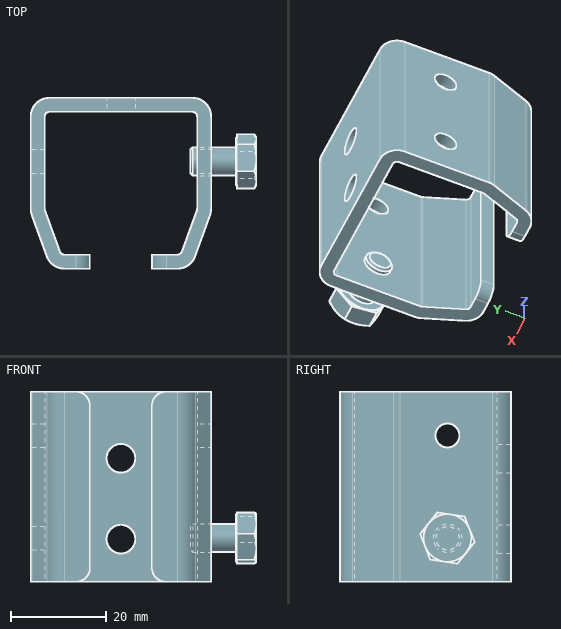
import cadquery as cq
import math

total_length = 47.5
height = 40.0

width = 38.0
depth = 36.0
wall = 3.0
inner_radius = 1.0
outer_radius = inner_radius + wall
bend_depth = 24.1
slope_angle = 20.0
slot_width = 13.0
lip_corner_radius = 3.0

back_hole_diameter = 6.0
back_hole_low = 9.0
back_hole_pitch = 17.0
side_hole_diameter = 5.0
side_hole_y = -13.4
side_hole_low = 9.2
side_hole_pitch = 21.55

bolt_diameter = 6.0
bolt_length = 13.95
tip_chamfer = 0.55
head_height = 4.3
washer_face_height = 0.25
washer_face_diameter = 10.0
head_across_flats = 10.0
head_turn = -8.5
head_chamfer_angle = 30.0

left_x = -width / 2
bolt_end_x = left_x + total_length
bolt_tip_x = bolt_end_x - bolt_length
head_x = bolt_end_x - head_height
head_across_corners = head_across_flats / math.cos(math.radians(30))


def bracket_outline():
    """Sharp-cornered outer outline of the bracket."""
    half_width = width / 2
    slope_run = (depth - bend_depth) * math.tan(math.radians(slope_angle))
    half_front = half_width - slope_run
    return cq.Workplane("XY").polyline([
        (-half_width, 0),
        (half_width, 0),
        (half_width, -bend_depth),
        (half_front, -depth),
        (-half_front, -depth),
        (-half_width, -bend_depth),
    ]).close()


def cylinder_x(diameter, start_x, end_x, y, z):
    """Cylinder along X between two X positions."""
    base = cq.Workplane("YZ", origin=(start_x, y, z))
    return base.circle(diameter / 2).extrude(end_x - start_x)


def make_bracket():
    outside = bracket_outline().extrude(height).edges("|Z").fillet(outer_radius)
    cavity = bracket_outline().offset2D(-wall).extrude(height).edges("|Z").fillet(inner_radius)
    body = outside.cut(cavity)

    slot = cq.Workplane("XY").box(slot_width, 2 * wall, height, centered=(True, True, False))
    body = body.cut(slot.translate((0, -depth, 0)))
    for side in (-1, 1):
        lip_middle = (side * slot_width / 2, -depth + wall / 2, height / 2)
        lip_end = cq.selectors.NearestToPointSelector(lip_middle)
        body = body.faces(lip_end).edges("|Y").fillet(lip_corner_radius)

    for z in (back_hole_low, back_hole_low + back_hole_pitch):
        hole = cq.Workplane("XZ", origin=(0, 0, z)).circle(back_hole_diameter / 2).extrude(wall)
        body = body.cut(hole)

    for z in (side_hole_low, side_hole_low + side_hole_pitch):
        body = body.cut(cylinder_x(side_hole_diameter, left_x, -left_x, side_hole_y, z))
    return body.cut(cylinder_x(bolt_diameter, 0, -left_x, side_hole_y, side_hole_low))


def make_bolt_head():
    """Hexagon with its outer corners cut by a cone, on a round washer face."""
    hexagon_x = head_x + washer_face_height
    hexagon = (
        cq.Workplane("YZ", origin=(hexagon_x, side_hole_y, side_hole_low))
        .transformed(rotate=(0, 0, head_turn))
        .polygon(6, head_across_corners)
        .extrude(bolt_end_x - hexagon_x)
    )
    chamfer_width = (head_across_corners - head_across_flats) / 2
    chamfer_depth = chamfer_width * math.tan(math.radians(head_chamfer_angle))
    corner_radius = head_across_corners / 2
    blank = (
        cq.Workplane("XY")
        .polyline([
            (hexagon_x, 0),
            (hexagon_x, corner_radius),
            (bolt_end_x - chamfer_depth, corner_radius),
            (bolt_end_x, corner_radius - chamfer_width),
            (bolt_end_x, 0),
        ])
        .close()
        .revolve(360, (0, 0, 0), (1, 0, 0))
        .translate((0, side_hole_y, side_hole_low))
    )
    washer_face = cylinder_x(washer_face_diameter, head_x, hexagon_x, side_hole_y, side_hole_low)
    return hexagon.intersect(blank).union(washer_face)


def make_bolt():
    shank = cylinder_x(bolt_diameter, bolt_tip_x, head_x, side_hole_y, side_hole_low)
    shank = shank.faces("<X").chamfer(tip_chamfer)
    return shank.union(make_bolt_head())


bracket = make_bracket()
bolt = make_bolt()

result = cq.Compound.makeCompound([bracket.val(), bolt.val()])